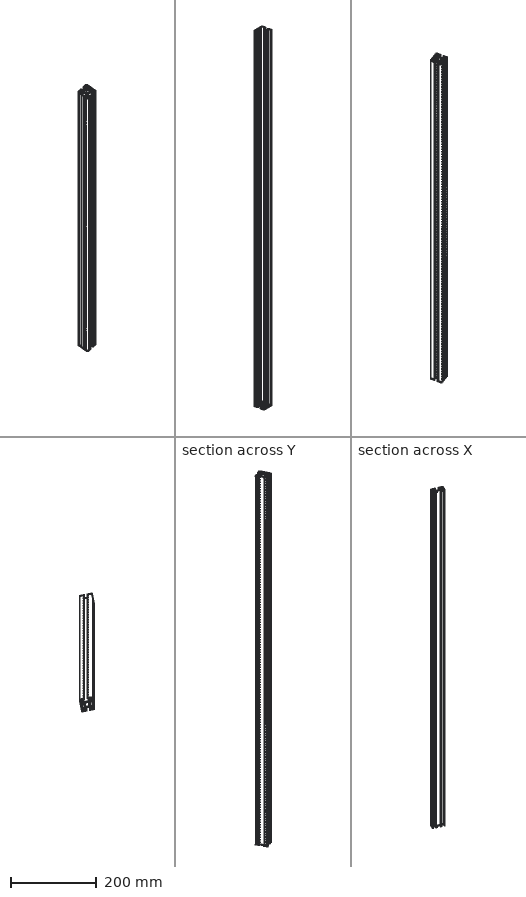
import cadquery as cq

SIDE = 30.0
LENGTH = 1000.0
CORNER_RADIUS = 2.0

OPENING_WIDTH = 8.0
OPENING_CHAMFER = 0.3
LIP_THICKNESS = 1.8
LIP_TAPER_DEPTH = 0.5
CAVITY_WIDTH = 12.0
CAVITY_SIDE_DEPTH = 7.0
CAVITY_FLOOR_DEPTH = 7.9
CAVITY_FLOOR_WIDTH = 6.0
WEB_THICKNESS = 0.8
MARKING_GROOVE_DEPTH = 0.2

CENTRE_BORE_SIDE = 9.1
CORNER_BORE_DIAMETER = 5.5
CORNER_BORE_WALL = 1.5

FACE = SIDE / 2
HALF_OPENING = OPENING_WIDTH / 2
CORNER_BORE_OFFSET = FACE - CORNER_BORE_WALL - CORNER_BORE_DIAMETER / 2

OPEN_SIDE_ANGLES = (0, 180)
CLOSED_SIDE_ANGLES = (90, 270)


def bar_blank():
    """Square bar standing on the XY plane, with rounded long edges."""
    return cq.Workplane("XY").rect(SIDE, SIDE).extrude(LENGTH).edges("|Z").fillet(CORNER_RADIUS)


def full_length_cutter(points):
    """Closed outline in the XY plane, extruded over the whole bar."""
    return cq.Workplane("XY").polyline(points).close().extrude(LENGTH)


def turned(cutter, angle):
    """Cutter made for the +X side, turned about the bar's axis to another side."""
    return cutter.rotate((0, 0, 0), (0, 0, 1), angle)


def slot_cutter(mouth):
    """T-slot on the +X side; mouth lists the upper-half points from the outside to the lip's inner edge."""
    cavity = [
        (FACE - LIP_THICKNESS - LIP_TAPER_DEPTH, CAVITY_WIDTH / 2),
        (FACE - CAVITY_SIDE_DEPTH, CAVITY_WIDTH / 2),
        (FACE - CAVITY_FLOOR_DEPTH, CAVITY_FLOOR_WIDTH / 2),
    ]
    upper_half = mouth + cavity
    lower_half = [(x, -y) for x, y in reversed(upper_half)]
    return full_length_cutter(upper_half + lower_half)


def open_slot():
    """T-slot with a chamfered opening through the outer face."""
    return slot_cutter([
        (FACE, HALF_OPENING + OPENING_CHAMFER),
        (FACE - OPENING_CHAMFER, HALF_OPENING),
        (FACE - LIP_THICKNESS, HALF_OPENING),
    ])


def closed_slot():
    """T-slot that stops short of the outer face, leaving a thin web."""
    return slot_cutter([
        (FACE - WEB_THICKNESS, HALF_OPENING),
        (FACE - LIP_THICKNESS, HALF_OPENING),
    ])


def marking_groove(y):
    """Small V-groove in the outer face, marking one edge of a closed slot's opening."""
    return full_length_cutter([
        (FACE, y - MARKING_GROOVE_DEPTH),
        (FACE, y + MARKING_GROOVE_DEPTH),
        (FACE - MARKING_GROOVE_DEPTH, y),
    ])


def centre_bore():
    """Square hollow along the bar's axis."""
    return cq.Workplane("XY").rect(CENTRE_BORE_SIDE, CENTRE_BORE_SIDE).extrude(LENGTH)


def corner_bores():
    """Round hollow in each of the four corners."""
    spacing = 2 * CORNER_BORE_OFFSET
    corners = cq.Workplane("XY").rect(spacing, spacing, forConstruction=True).vertices()
    return corners.circle(CORNER_BORE_DIAMETER / 2).extrude(LENGTH)


result = bar_blank()
for side_angle in OPEN_SIDE_ANGLES:
    result = result.cut(turned(open_slot(), side_angle))
for side_angle in CLOSED_SIDE_ANGLES:
    result = result.cut(turned(closed_slot(), side_angle))
    for groove_y in (-HALF_OPENING, HALF_OPENING):
        result = result.cut(turned(marking_groove(groove_y), side_angle))
result = result.cut(centre_bore()).cut(corner_bores())